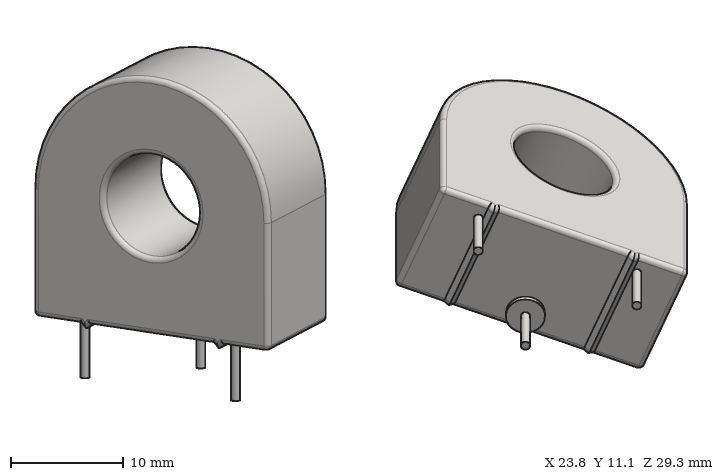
import cadquery as cq

width = 23.8
depth = 11.13
total_height = 29.3
base_z = 5.5
half_width = width / 2
arch_center_z = total_height - half_width
hole_diameter = 9.5
edge_radius = 0.5

pin_diameter = 0.82
pin_spacing = 7.62
pin_row_offset = pin_spacing / 2
embedding = edge_radius

standoff_height = 0.5
boss_diameter = 3.5
rib_offset = 6.7
rib_half_width = standoff_height


def add_rib(outline, x):
    """Continue the base line, from left to right, around one pointed rib."""
    return (
        outline.lineTo(x - rib_half_width, base_z)
        .lineTo(x, base_z - standoff_height)
        .lineTo(x + rib_half_width, base_z)
    )


def make_housing():
    """Arch with both V ribs along its base, rounded on its corners and both faces."""
    outline = cq.Workplane("XZ").moveTo(-half_width, base_z)
    for x in (-rib_offset, rib_offset):
        outline = add_rib(outline, x)
    body = (
        outline.lineTo(half_width, base_z)
        .lineTo(half_width, arch_center_z)
        .threePointArc((0, total_height), (-half_width, arch_center_z))
        .close()
        .extrude(depth / 2, both=True)
    )
    for side in (-half_width, half_width):
        corner = cq.selectors.NearestToPointSelector((side, 0, base_z))
        body = body.edges(corner).fillet(edge_radius)

    hole = (
        cq.Workplane("XZ")
        .center(0, arch_center_z)
        .circle(hole_diameter / 2)
        .extrude(depth / 2, both=True)
    )
    return body.cut(hole).faces("<Y or >Y").edges().fillet(edge_radius)


def make_post(x, y, bottom_z, diameter):
    """Vertical cylinder from bottom_z up into the housing."""
    return (
        cq.Workplane("XY", origin=(x, y, bottom_z))
        .circle(diameter / 2)
        .extrude(base_z + embedding - bottom_z)
    )


result = make_housing()

result = result.union(make_post(0, pin_row_offset, base_z - standoff_height, boss_diameter))

pin_positions = (
    (-pin_spacing, -pin_row_offset),
    (0, pin_row_offset),
    (pin_spacing, -pin_row_offset),
)
for pin_x, pin_y in pin_positions:
    result = result.union(make_post(pin_x, pin_y, 0, pin_diameter))